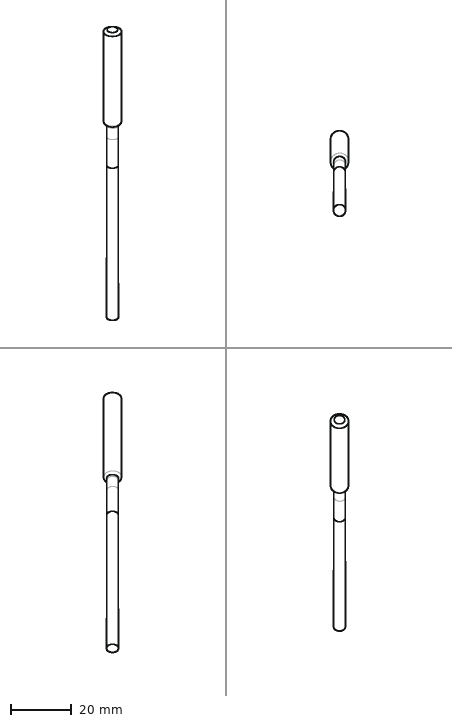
import cadquery as cq
import math

overall_length = 114.0
shank_length = 36.0
shank_diameter = 6.0

tip_diameter = 4.0
head_end_diameter = 3.94
point_angle = 144.0
cutting_length = 60.0

neck_diameter = 3.91
neck_straight_start = 72.0
neck_straight_end = 76.5
neck_flare_diameter = 3.96

top_face_diameter = 3.5
top_chamfer_angle = 30.0
lower_round_radius = 0.8

tip_radius = tip_diameter / 2
head_end_radius = head_end_diameter / 2
neck_radius = neck_diameter / 2
neck_flare_radius = neck_flare_diameter / 2
shank_radius = shank_diameter / 2
top_face_radius = top_face_diameter / 2

point_height = tip_radius / math.tan(math.radians(point_angle / 2))
head_end = point_height + cutting_length
shank_side_bottom = overall_length - shank_length
shank_bottom = shank_side_bottom - lower_round_radius
lower_round_center = shank_radius - lower_round_radius
lower_round_mid_offset = lower_round_radius * math.sqrt(0.5)
top_chamfer_height = (shank_radius - top_face_radius) * math.tan(math.radians(top_chamfer_angle))


def revolve_about_z(profile):
    """Close a half profile, drawn as (radius, height), and spin it about Z."""
    return profile.close().revolve(360, (0, 0), (0, 1))


def make_cutting_head():
    """Lower body: the conical point and the back-tapered cutting length."""
    profile = (
        cq.Workplane("XZ")
        .moveTo(0, 0)
        .lineTo(tip_radius, point_height)
        .lineTo(head_end_radius, head_end)
        .lineTo(0, head_end)
    )
    return revolve_about_z(profile)


def make_shank():
    """Upper body: the neck above the cutting head and the clamping shank."""
    neck = (
        cq.Workplane("XZ")
        .moveTo(0, head_end)
        .lineTo(head_end_radius, head_end)
        .lineTo(neck_radius, neck_straight_start)
        .lineTo(neck_radius, neck_straight_end)
        .lineTo(neck_flare_radius, shank_bottom)
    )
    lower_edge = neck.lineTo(lower_round_center, shank_bottom).threePointArc(
        (lower_round_center + lower_round_mid_offset, shank_side_bottom - lower_round_mid_offset),
        (shank_radius, shank_side_bottom),
    )
    profile = (
        lower_edge
        .lineTo(shank_radius, overall_length - top_chamfer_height)
        .lineTo(top_face_radius, overall_length)
        .lineTo(0, overall_length)
    )
    return revolve_about_z(profile)


cutting_head = make_cutting_head()
shank = make_shank()

result = cq.Compound.makeCompound([cutting_head.val(), shank.val()])